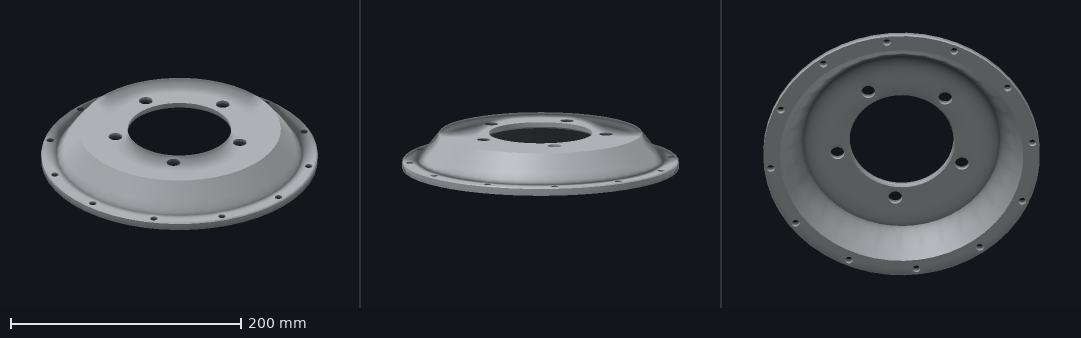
import cadquery as cq
import math

flange_diameter = 240.0
total_height = 31.0
flange_thickness = 7.0
flange_chamfer = 1.0

cone_base_diameter = 214.0
cone_top_diameter = 176.0
wall_thickness = 5.5

bore_diameter = 90.0
bore_chamfer = 1.5
hub_hole_count = 5
hub_hole_diameter = 12.0
hub_hole_circle_diameter = 114.0
rim_hole_count = 12
rim_hole_diameter = 6.5
rim_hole_circle_diameter = 228.5
first_hole_angle = 90.0


def dished_body():
    """Revolve the constant-wall section: flat top, conical side and rim flange.

    The rim is chamfered on its upper edge and the bore on its lower edge.
    """
    flange_radius = flange_diameter / 2
    bore_radius = bore_diameter / 2
    cone_base_radius = cone_base_diameter / 2
    cone_top_radius = cone_top_diameter / 2

    taper = (cone_base_radius - cone_top_radius) / (total_height - flange_thickness)
    radial_wall = wall_thickness * math.hypot(1, taper)
    cavity_height = total_height - wall_thickness
    cavity_top_radius = cone_top_radius + taper * wall_thickness - radial_wall
    cavity_base_radius = cone_top_radius + taper * total_height - radial_wall

    section = (
        cq.Workplane("XZ")
        .moveTo(cavity_base_radius, 0)
        .lineTo(flange_radius, 0)
        .lineTo(flange_radius, flange_thickness - flange_chamfer)
        .lineTo(flange_radius - flange_chamfer, flange_thickness)
        .lineTo(cone_base_radius, flange_thickness)
        .lineTo(cone_top_radius, total_height)
        .lineTo(bore_radius, total_height)
        .lineTo(bore_radius, cavity_height + bore_chamfer)
        .lineTo(bore_radius + bore_chamfer, cavity_height)
        .lineTo(cavity_top_radius, cavity_height)
        .close()
    )
    return section.revolve(360, (0, 0, 0), (0, 1, 0))


def hole_ring(count, hole_diameter, circle_diameter):
    """Full-height cylinders evenly spaced on a circle, the first one on +Y."""
    return (
        cq.Workplane("XY")
        .polarArray(circle_diameter / 2, first_hole_angle, 360, count)
        .circle(hole_diameter / 2)
        .extrude(total_height)
    )


hub_holes = hole_ring(hub_hole_count, hub_hole_diameter, hub_hole_circle_diameter)
rim_holes = hole_ring(rim_hole_count, rim_hole_diameter, rim_hole_circle_diameter)

result = dished_body().cut(hub_holes).cut(rim_holes)